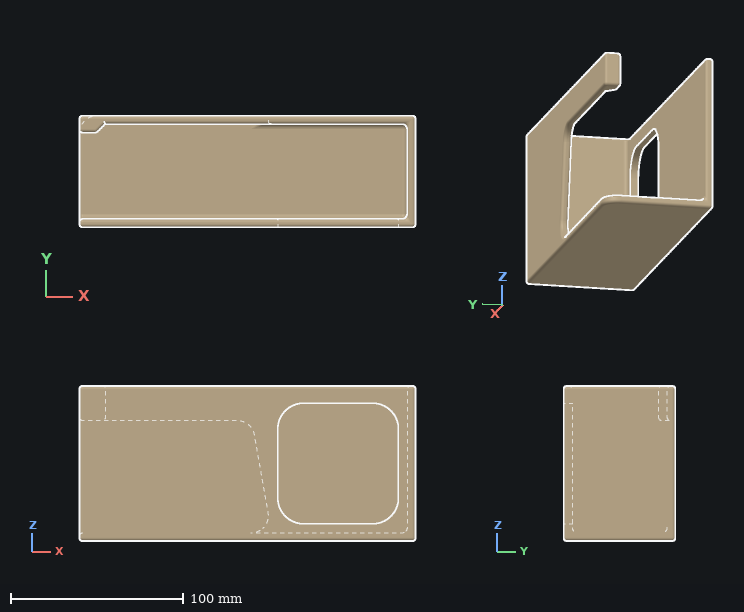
import cadquery as cq
import math

length = 195.0
width = 65.0
height = 90.0

hook_depth = 10.0
hook_length = hook_depth

wall = hook_depth / 2
edge_radius = 0.4 * wall
inner_radius = wall - edge_radius

arm_height = 20.0
opening_end = 111.3
opening_tilt = math.radians(10)
opening_radius = 10.0

floor_corner_radius = 10.0

window_size = 70.0
window_radius = 15.0
window_margin = 10.0

back_face = width - wall
end_face = length - wall
arm_bottom = height - arm_height
hook_root = hook_length + hook_depth - wall

tolerance = 0.02
smooth_cosine = 0.99


def tray():
    """Floor, two long walls and the end wall, open at the top and at X = 0."""
    block = cq.Workplane("XY").box(length, width, height, centered=False)
    cavity = (
        cq.Workplane("XY", origin=(0, wall, wall))
        .box(end_face, back_face - wall, height - wall, centered=False)
    )
    return block.cut(cavity)


def opening():
    """Cutter that leaves an arm along the top of the back wall."""
    top_end = opening_end - (arm_bottom - wall) * math.tan(opening_tilt)
    return (
        cq.Workplane("XZ", origin=(0, width, 0))
        .moveTo(0, wall)
        .lineTo(opening_end, wall)
        .lineTo(top_end, arm_bottom)
        .lineTo(0, arm_bottom)
        .close()
        .extrude(wall)
        .edges("|Y and (not <X)")
        .fillet(opening_radius)
    )


def hook():
    """Block on the inner side of the arm, with a 45 degree slope down to the wall."""
    return (
        cq.Workplane("XY", origin=(0, 0, arm_bottom))
        .moveTo(0, back_face)
        .lineTo(0, width - hook_depth)
        .lineTo(hook_length, width - hook_depth)
        .lineTo(hook_root, back_face)
        .close()
        .extrude(arm_height)
    )


def front_window():
    """Cutter for the rounded square window through the front wall."""
    center_x = length - window_margin - window_size / 2
    return (
        cq.Workplane("XZ", origin=(center_x, 0, height / 2))
        .rect(window_size, window_size)
        .extrude(-wall)
        .edges("|Y")
        .fillet(window_radius)
    )


def is_inner_corner(edge):
    """True where two of the inner wall and floor faces meet."""
    center = edge.Center()
    on_floor = abs(center.z - wall) < tolerance
    on_front = abs(center.y - wall) < tolerance
    on_back = abs(center.y - back_face) < tolerance
    on_end = abs(center.x - end_face) < tolerance
    return on_floor + on_front + on_back + on_end == 2


def is_hook_root(edge):
    """True on the inside corner where the hook's slope meets the back wall."""
    center = edge.Center()
    return abs(center.x - hook_root) < tolerance and abs(center.y - back_face) < tolerance


def is_opening_rim(edge):
    """True on the opening's edges at the inner side of the back wall."""
    box = edge.BoundingBox()
    beside_opening = box.xmin > hook_length and box.xmax < opening_end
    below_arm = box.zmin > wall - tolerance and box.zmax < arm_bottom + tolerance
    past_inner_rounding = box.ymin > back_face - inner_radius - tolerance
    on_inner_side = past_inner_rounding and box.ymax < back_face + tolerance
    return beside_opening and below_arm and on_inner_side


def is_sharp(solid, edge):
    """True where two faces meet along the edge at a visible angle."""
    center = edge.positionAt(0.5)
    faces = edge.ancestors(solid, "Face").Faces()
    if len(faces) < 2:
        return False
    return faces[0].normalAt(center).dot(faces[1].normalAt(center)) < smooth_cosine


def sharp_edges(body):
    solid = body.val()
    return [edge for edge in body.edges().vals() if is_sharp(solid, edge)]


def round_floor_corner(body):
    nearest = cq.selectors.NearestToPointSelector((0, width, wall / 2))
    return body.edges(nearest).fillet(floor_corner_radius)


def round_outer_edges(body):
    """Round every outward edge except the opening's inner rim."""
    edges = [
        edge
        for edge in sharp_edges(body)
        if not (is_inner_corner(edge) or is_hook_root(edge) or is_opening_rim(edge))
    ]
    return body.newObject(edges).fillet(edge_radius)


def round_inner_corners(body):
    edges = [edge for edge in body.edges().vals() if is_inner_corner(edge)]
    return body.newObject(edges).fillet(inner_radius)


def round_opening_rim(body):
    """Round the opening's inner rim, which runs out into the floor's rounding."""
    edges = [edge for edge in sharp_edges(body) if is_opening_rim(edge)]
    return body.newObject(edges).fillet(edge_radius)


body = tray().cut(opening()).union(hook())
body = round_floor_corner(body)
body = round_outer_edges(body)
body = round_inner_corners(body)
body = round_opening_rim(body)
result = body.cut(front_window()).solids()